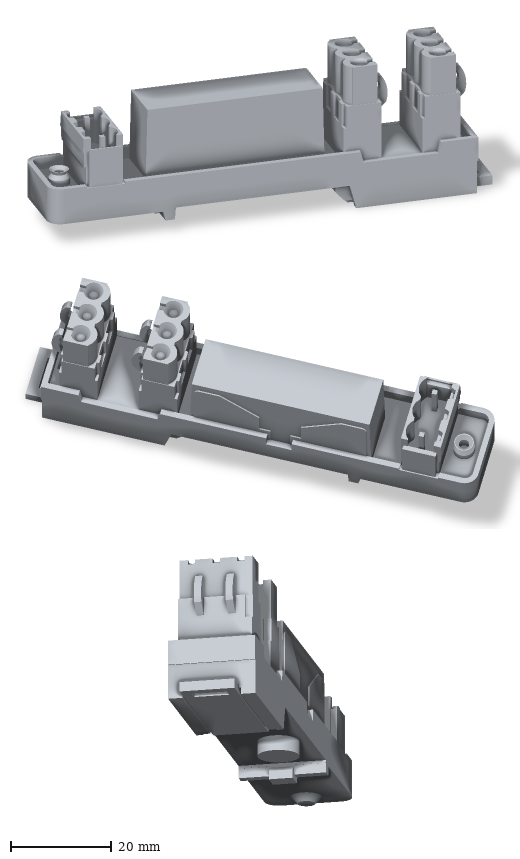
import cadquery as cq
import math

length = 93.6
height = 30.0
width = 17.9
half_width = width / 2

tray_back = 89.6
back_step = 0.3
back_step_z = 7.0
rim_z = 12.1
floor_z = 9.55
side_wall = 1.2
end_wall = 1.1
corner_radius = 2.9
inner_radius = corner_radius - side_wall
inner_half = half_width - side_wall
rear_underside_z = 5.1
front_underside_z = 4.5
rear_block_toe = 64.05
rear_block_heel = 62.6
dip_z = 9.7
dip_front = 65.0
dip_back = 81.8
dip_slope = 0.6

slider_half = 5.6
slider_gap = 0.33
slider_z = 1.3
rail_front = 64.6
tab_z = 2.0
tab_window_half = 3.6
tab_bar = 2.2
hook_half = 7.5
hook_tip = 60.1
hook_tip_low_z = 3.4
hook_tip_top_z = 4.1
hook_neck = 61.3
hook_toe = 63.2

foot_back = 26.2
bar_front = 23.6
bar_z = 2.5
foot_half = 2.4
foot_tip = 27.5
foot_z = 1.4
foot_tip_z = 3.2
foot_neck_z = 4.2
foot_toe = 23.8
foot_heel = 22.7
bar_back_low = 26.0
bar_front_low = 24.1
boss_x = -2.5
boss_y = 40.5
boss_radius = 4.2
boss_z = 2.0

poles = 3
pole_pitch = 5.1
pole_xs = [(i - (poles - 1) / 2) * pole_pitch for i in range(poles)]
terminal_half = 7.6
terminal_depth = 8.0
terminal_backs = (86.2, 69.8)
shroud_z = 21.7
pocket_z = 17.0
pocket_depth = 0.6
end_pocket = 1.5
mid_pocket_start = 1.0
mid_pocket_end = 4.2
plug_half = 7.5
plug_setback = 0.8
plug_depth = 6.4
lobe_width = 4.3
lobe_rise = 1.1
entry_from_back = 3.8
entry_radius = 2.0
entry_bottom_radius = 0.89
entry_depth = 1.7
key_width = 1.5
key_depth = 0.9
key_overlap = 0.3
latch_width = 1.5
latch_xs = (-3.4, 3.1)
latch_root_z = 18.0
latch_knee = (2.2, 20.1)
latch_back_mid = (2.3, 23.0)
latch_tip_back = (1.0, 25.9)
latch_tip_front = (0.2, 25.9)
latch_tip_low = (0.3, 25.0)
latch_throat = (0.9, 23.4)
rib_height = 2.25
rib_foot = 0.7
rib_offset = 1.0

relay_left = -7.6
relay_right = 3.2
relay_z = 24.4
relay_middle = 40.45
relay_top_half = 18.4
relay_foot_half = 18.7
plate_thickness = 0.3
plate_outer = 17.8
plate_z = 22.6
plate_radius = 1.1
plate_ramp_top = 12.55
plate_step = 4.3
plate_ramp_z = 17.5
plate_step_z = 13.2
plate_inner = 2.1
wall_slot_half = 2.6

header_front = 7.9
header_back = 15.6
header_half = 7.5
header_z = 21.7
header_lip = 7.4
header_lip_low = 7.5
header_ridge = 7.2
header_ridge_z = 18.9
header_ridge_base_z = 18.6
header_band_z = 16.7
header_lip_z = 15.6
cavity_front = 8.9
cavity_floor_z = 14.0
cusp_y = 14.2
scallop_rise = 0.9
cavity_half = 7.4
cheek_half = 8.7
cheek_front = 8.2
cheek_back = 15.1
cheek_z = 19.8
cheek_ledge_z = 19.2
cheek_rim = 0.4
rim_notch_z = 11.6
rim_notch_front = 7.6
pin_y = 12.0
pin_width = 1.0
pin_z = 20.9
pin_x = pole_pitch
slot_mouth = 2.8
slot_base = 1.9
slot_bottom = 7.9
slot_depth = 1.9

rivet_y = 4.6
rivet_top_z = 12.6
rivet_radius = 2.0
rivet_collar_radius = 2.2
rivet_collar_z = 10.9
rivet_neck = 1.5
rivet_hole = 1.0
rivet_mouth = 1.8
rivet_flare = 0.8
rivet_head_radius = 3.2
rivet_head_tip = 1.8
rivet_head_z = 3.1


def block(x0, x1, y0, y1, z0, z1):
    """Box between opposite corners."""
    return cq.Workplane("XY").box(x1 - x0, y1 - y0, z1 - z0, centered=False).translate((x0, y0, z0))


def across(x0, x1, yz_points):
    """Closed Y-Z outline extruded across X."""
    return cq.Workplane("YZ").polyline(yz_points).close().extrude(x1 - x0).translate((x0, 0, 0))


def make_tray():
    tray = across(-half_width, half_width, [
        (0, front_underside_z), (foot_back, front_underside_z), (foot_back, rear_underside_z),
        (rear_block_heel, rear_underside_z), (rear_block_toe, 0), (tray_back - back_step, 0),
        (tray_back - back_step, back_step_z), (tray_back, back_step_z), (tray_back, rim_z), (0, rim_z),
    ])
    tray = tray.edges("|Z and <Y").fillet(corner_radius)
    cavity = block(-inner_half, inner_half, end_wall, tray_back - end_wall, floor_z, rim_z)
    cavity = cavity.edges("|Z and <Y").fillet(inner_radius)
    rim_dip = across(-half_width, half_width, [
        (dip_front, rim_z), (dip_front + dip_slope, dip_z),
        (dip_back - dip_slope, dip_z), (dip_back, rim_z),
    ])
    header_notch = block(-half_width, half_width, rim_notch_front, header_back, rim_notch_z, rim_z)
    relay_slot = block(-half_width, -inner_half, relay_middle - wall_slot_half,
                       relay_middle + wall_slot_half, dip_z, rim_z)
    return tray.cut(cavity).cut(rim_dip).cut(header_notch).cut(relay_slot)


def cut_slider_gaps(body):
    """Clearance along the slider, and guide rails set back from the block face."""
    for x0 in (-slider_half - slider_gap, slider_half):
        body = body.cut(block(x0, x0 + slider_gap, hook_tip, tray_back, 0, slider_z))
    return body.cut(block(-hook_half, hook_half, hook_tip, rail_front, 0, slider_z))


def make_slider():
    slope = (hook_toe - hook_tip) / hook_tip_low_z
    split_y = hook_toe - slope * slider_z
    hook = across(-hook_half, hook_half, [
        (rear_block_toe, rear_underside_z), (hook_neck, rear_underside_z), (hook_neck, hook_tip_top_z),
        (hook_tip, hook_tip_top_z), (hook_tip, hook_tip_low_z), (split_y, slider_z),
        (rear_block_toe, slider_z),
    ])
    nose = across(-slider_half, slider_half, [
        (split_y, slider_z), (hook_toe, 0), (rail_front, 0), (rail_front, slider_z),
    ])
    tab = block(-slider_half, slider_half, tray_back - 2 * back_step, length, 0, tab_z)
    window = block(-tab_window_half, tab_window_half, tray_back - back_step, length - tab_bar, 0, tab_z)
    return hook.union(nose).union(tab.cut(window))


def make_rail_foot():
    bar = across(-half_width, half_width, [
        (foot_back, rear_underside_z), (bar_back_low, bar_z), (bar_front_low, bar_z),
        (bar_front, front_underside_z),
    ])
    foot = across(-foot_half, foot_half, [
        (foot_back, rear_underside_z), (foot_back, foot_neck_z), (foot_tip, foot_tip_z),
        (foot_tip, foot_z), (foot_toe, foot_z), (foot_heel, front_underside_z),
    ])
    return bar.union(foot)


def make_boss():
    boss = cq.Workplane("XY").circle(boss_radius).extrude(rear_underside_z - boss_z)
    return boss.translate((boss_x, boss_y, boss_z))


def make_latch(back, x):
    """Curved release lever on the back of a terminal."""
    lever = (
        cq.Workplane("YZ").moveTo(0, latch_root_z).lineTo(*latch_knee)
        .threePointArc(latch_back_mid, latch_tip_back).lineTo(*latch_tip_front).lineTo(*latch_tip_low)
        .threePointArc(latch_throat, (0, shroud_z)).lineTo(-pocket_depth, shroud_z)
        .lineTo(-pocket_depth, latch_root_z).close().extrude(latch_width)
    )
    return lever.translate((x - latch_width / 2, back, 0))


def make_plug(back):
    """Upper plug: straight back, one round lobe per pole in front."""
    plug_back = back - plug_setback
    lobe_foot = plug_back - plug_depth + lobe_rise
    outline = cq.Workplane("XY").moveTo(-plug_half, plug_back).lineTo(-plug_half, lobe_foot)
    for x in pole_xs:
        outline = outline.lineTo(x - lobe_width / 2, lobe_foot)
        outline = outline.threePointArc((x, lobe_foot - lobe_rise), (x + lobe_width / 2, lobe_foot))
    outline = outline.lineTo(plug_half, lobe_foot).lineTo(plug_half, plug_back).close()
    plug = outline.extrude(height - shroud_z).translate((0, 0, shroud_z))
    for x in pole_xs:
        entry_y = back - entry_from_back
        entry = cq.Workplane(cq.Solid.makeCone(entry_bottom_radius, entry_radius, entry_depth))
        plug = plug.cut(entry.translate((x, entry_y, height - entry_depth)))
        key_front = entry_y + entry_radius - key_overlap
        plug = plug.cut(block(x - key_width / 2, x + key_width / 2, key_front, plug_back,
                              height - key_depth, height))
    return plug


def make_terminal(back):
    front = back - terminal_depth
    shroud = block(-terminal_half, terminal_half, front, back, floor_z, shroud_z)
    end_start = terminal_half - end_pocket
    for x0, x1 in ((mid_pocket_start, mid_pocket_end), (end_start, terminal_half)):
        for pocket_x0, pocket_x1 in ((x0, x1), (-x1, -x0)):
            shroud = shroud.cut(block(pocket_x0, pocket_x1, front, front + pocket_depth, pocket_z, shroud_z))
    shroud = shroud.cut(block(-terminal_half, -end_start, back - pocket_depth, back, pocket_z, shroud_z))
    terminal = shroud.union(make_plug(back))
    for x in latch_xs:
        terminal = terminal.union(make_latch(back, x))
    return terminal


def make_floor_rib():
    rib_y = terminal_backs[0] + rib_offset
    return across(latch_xs[0] + latch_width / 2, latch_xs[1] - latch_width / 2, [
        (rib_y, floor_z), (rib_y, floor_z + rib_height), (rib_y + rib_foot, floor_z),
    ])


def make_retaining_plate():
    """Plate on the relay side, behind the relay middle."""
    arc_middle = plate_radius * (1 - math.sqrt(0.5))
    plate = (
        cq.Workplane("YZ").moveTo(plate_inner, floor_z).lineTo(plate_inner, plate_step_z)
        .lineTo(plate_step, plate_step_z).lineTo(plate_step, plate_ramp_z)
        .lineTo(plate_ramp_top, plate_z).lineTo(plate_outer - plate_radius, plate_z)
        .threePointArc((plate_outer - arc_middle, plate_z - arc_middle), (plate_outer, plate_z - plate_radius))
        .lineTo(plate_outer, floor_z).close().extrude(plate_thickness)
    )
    return plate.translate((relay_left - plate_thickness, 0, 0))


def make_relay():
    relay = across(relay_left, relay_right, [
        (-relay_foot_half, floor_z), (relay_foot_half, floor_z),
        (relay_top_half, relay_z), (-relay_top_half, relay_z),
    ])
    plate = make_retaining_plate()
    relay = relay.union(plate).union(plate.mirror("XZ"))
    return relay.translate((0, relay_middle, 0))


def make_header_cavity():
    """Socket with a scalloped back, open above the side cheeks."""
    outline = cq.Workplane("XY").moveTo(-cavity_half, cavity_front).lineTo(-cavity_half, cusp_y)
    for x in pole_xs:
        outline = outline.lineTo(x - lobe_width / 2, cusp_y)
        outline = outline.threePointArc((x, cusp_y + scallop_rise), (x + lobe_width / 2, cusp_y))
    outline = outline.lineTo(cavity_half, cusp_y).lineTo(cavity_half, cavity_front).close()
    cavity = outline.extrude(header_z - cavity_floor_z).translate((0, 0, cavity_floor_z))
    return cavity.union(block(-header_half, header_half, cavity_front, cusp_y, cheek_ledge_z, header_z))


def make_header():
    header = across(-header_half, header_half, [
        (header_back, floor_z), (header_back, header_z), (header_lip, header_z),
        (header_ridge, header_ridge_z), (header_ridge, header_ridge_base_z),
        (header_lip, header_ridge_base_z), (header_lip, header_band_z),
        (header_lip_low, header_lip_z), (header_front, header_lip_z), (header_front, floor_z),
    ])
    header = header.cut(make_header_cavity())
    for x in pole_xs:
        slot = cq.Workplane("XY").polyline([
            (x - slot_mouth / 2, cavity_front), (x - slot_base / 2, slot_bottom),
            (x + slot_base / 2, slot_bottom), (x + slot_mouth / 2, cavity_front),
        ]).close().extrude(slot_depth)
        header = header.cut(slot.translate((0, 0, header_z - slot_depth)))
    cheek = block(header_half, cheek_half, cheek_front, cheek_back, floor_z, cheek_z)
    cheek = cheek.cut(block(header_half, cheek_half - cheek_rim, cheek_front, cheek_back,
                            cheek_ledge_z, cheek_z))
    header = header.union(cheek).union(cheek.mirror("YZ"))
    half_pin = pin_width / 2
    for x in (-pin_x, pin_x):
        header = header.union(block(x - half_pin, x + half_pin, pin_y - half_pin, pin_y + half_pin,
                                    cavity_floor_z, pin_z))
    return header


def make_rivet():
    profile = [
        (0, rivet_head_z), (rivet_head_tip, rivet_head_z), (rivet_head_radius, front_underside_z),
        (rivet_neck, front_underside_z), (rivet_neck, floor_z), (rivet_collar_radius, floor_z),
        (rivet_collar_radius, rivet_collar_z), (rivet_neck, rivet_top_z - rivet_flare),
        (rivet_radius, rivet_top_z), (rivet_mouth, rivet_top_z),
        (rivet_hole, rivet_top_z - rivet_flare), (rivet_hole, floor_z), (0, floor_z),
    ]
    rivet = cq.Workplane("XZ").polyline(profile).close().revolve(360, (0, 0, 0), (0, 1, 0))
    return rivet.translate((0, rivet_y, 0))


result = cut_slider_gaps(make_tray())
result = result.union(make_slider()).union(make_rail_foot()).union(make_boss())
for terminal_back in terminal_backs:
    result = result.union(make_terminal(terminal_back))
result = result.union(make_floor_rib()).union(make_relay()).union(make_header()).union(make_rivet())